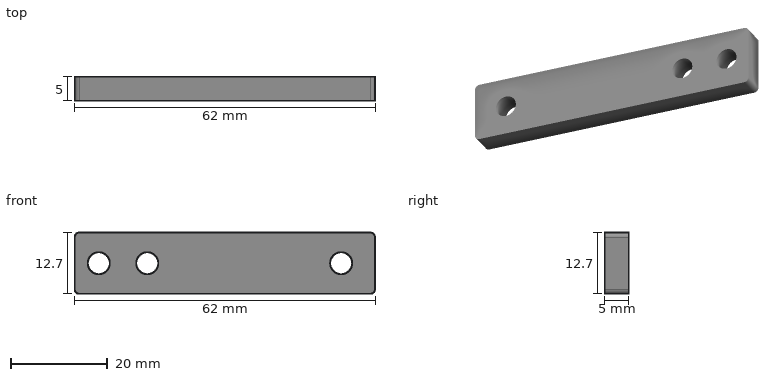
import cadquery as cq

length = 62.0
thickness = 5.0
height = 12.7
corner_radius = 1.0
hole_diameter = 4.5

hole_offsets = (5.0, 15.0, 55.0)


def make_bar():
    """Flat bar centred on the origin, its four corners rounded in the XZ plane."""
    bar = cq.Workplane("XY").box(length, thickness, height)
    return bar.edges("|Y").fillet(corner_radius)


def drill_holes(bar):
    """Drill the row of round holes right through the thickness."""
    centres = [(offset - length / 2, 0) for offset in hole_offsets]
    return bar.faces("<Y").workplane(origin=(0, 0, 0)).pushPoints(centres).hole(hole_diameter)


result = drill_holes(make_bar())